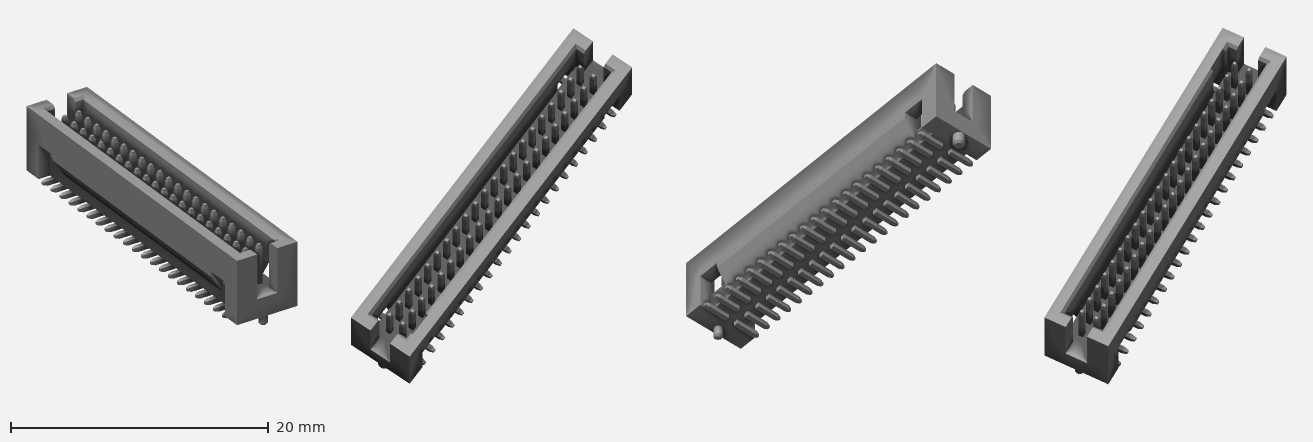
import cadquery as cq


length = 29.67
width = 5.6
height = 5.7
floor_top = 1.72
end_slot_width = 1.87

end_wall = 1.2
side_wall = 1.13
mouth_bevel = 0.25
cavity_length = length - 2 * end_wall
cavity_width = width - 2 * side_wall

undercut_length = 26.3
undercut_depth = 1.07
slope_length = 22.3
slope_bottom = 0.95
slope_top = 2.58
window_top = 3.05
window_length = (undercut_length - slope_length) / 2

pins_per_row = 21
row_length = 25.4
pitch = row_length / (pins_per_row - 1)
pin_size = 0.42
pin_top = 5.2
tail_reach = 2.73
tip_length = 0.35
tip_inset = 0.1

peg_spacing = 28.55
peg_length = 1.0
peg_bevel = 0.18
left_peg_diameter = 1.0
right_peg_diameter = 0.75


def block(x_size, y_size, z_low, z_high):
    """Box centred on the Z axis between two heights."""
    box = cq.Workplane("XY").box(x_size, y_size, z_high - z_low, centered=(True, True, False))
    return box.translate((0, 0, z_low))


def make_cavity():
    bevel_base = height - mouth_bevel
    mouth = (
        cq.Workplane("XY", origin=(0, 0, bevel_base))
        .rect(cavity_length, cavity_width)
        .workplane(offset=mouth_bevel)
        .rect(cavity_length + 2 * mouth_bevel, cavity_width + 2 * mouth_bevel)
        .loft(ruled=True)
    )
    return block(cavity_length, cavity_width, floor_top, height).union(mouth)


def make_front_undercut():
    """Sloped relief in the middle, with a taller square relief at each end that opens a window."""
    outer_y = -width / 2
    panel_y = outer_y + undercut_depth
    undercut = (
        cq.Workplane("YZ")
        .polyline([(outer_y, 0), (panel_y, 0), (panel_y, slope_bottom), (outer_y, slope_top)])
        .close()
        .extrude(slope_length / 2, both=True)
    )
    window_x = (slope_length + window_length) / 2
    for side in (-1, 1):
        relief = block(window_length, undercut_depth, 0, window_top)
        undercut = undercut.union(relief.translate((side * window_x, outer_y + undercut_depth / 2, 0)))
        window = block(window_length, side_wall, floor_top, window_top)
        undercut = undercut.union(window.translate((side * window_x, outer_y + side_wall / 2, 0)))
    return undercut


def make_key_groove():
    """Groove down the inside of the front wall, marking the first pins."""
    groove = block(window_length, mouth_bevel, floor_top, height)
    groove_x = -(slope_length + window_length) / 2
    groove_y = -(cavity_width + mouth_bevel) / 2
    return groove.translate((groove_x, groove_y, 0))


def make_housing():
    undercut = make_front_undercut()
    return (
        block(length, width, 0, height)
        .cut(make_cavity())
        .cut(block(length, end_slot_width, floor_top, height))
        .cut(undercut)
        .cut(undercut.mirror("XZ"))
        .cut(make_key_groove())
    )


def make_bar(bar_length):
    """Square bar standing on Z = 0 with a tapered tip at its upper end."""
    tip_size = pin_size - 2 * tip_inset
    shaft_length = bar_length - tip_length
    tip = (
        cq.Workplane("XY", origin=(0, 0, shaft_length))
        .rect(pin_size, pin_size)
        .workplane(offset=tip_length)
        .rect(tip_size, tip_size)
        .loft(ruled=True)
    )
    return block(pin_size, pin_size, 0, shaft_length).union(tip)


def make_front_pin():
    """L-shaped pin: an upright contact and a tail along the underside toward -Y."""
    row_y = -pitch / 2
    upright = make_bar(pin_top + pin_size).translate((0, row_y, -pin_size))
    tail_start = row_y + pin_size / 2
    tail = make_bar(tail_reach + tail_start).rotate((0, 0, 0), (1, 0, 0), 90)
    return upright.union(tail.translate((0, tail_start, -pin_size / 2)))


def make_peg(diameter):
    peg = cq.Workplane("XY").circle(diameter / 2).extrude(-peg_length)
    return peg.faces("<Z").chamfer(peg_bevel)


def make_pins():
    """Two mirrored rows of pins, evenly spaced along X."""
    front_pin = make_front_pin().val()
    back_pin = front_pin.mirror("XZ")
    pin_positions = cq.Workplane("XY").rarray(pitch, 0.3, pins_per_row, 1)
    front_row = pin_positions.eachpoint(lambda place: front_pin.located(place), combine=False)
    back_row = pin_positions.eachpoint(lambda place: back_pin.located(place), combine=False)
    return front_row.add(back_row)


left_peg = make_peg(left_peg_diameter).translate((-peg_spacing / 2, 0, 0))
right_peg = make_peg(right_peg_diameter).translate((peg_spacing / 2, 0, 0))

result = make_housing().union(left_peg).union(right_peg).union(make_pins())